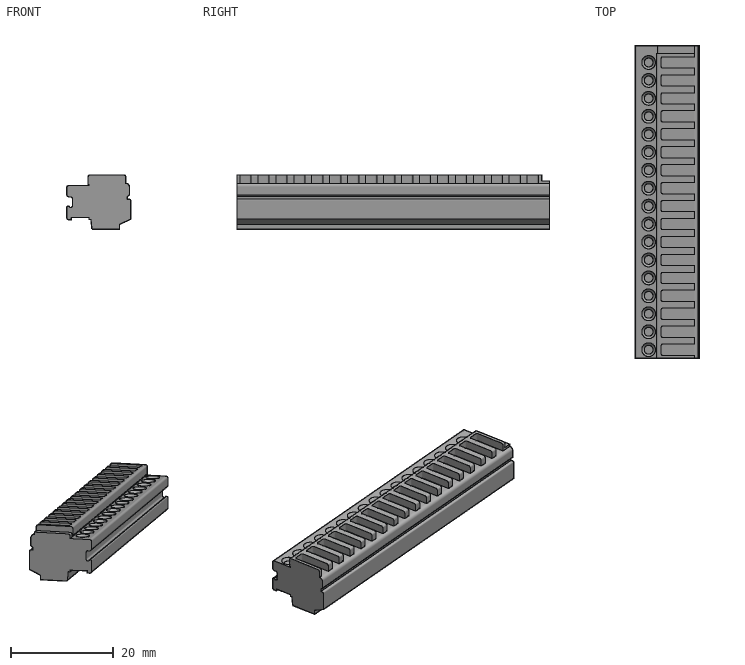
import cadquery as cq

depth = 12.5
length = 61.0
height = 10.6

pole_count = 17
row_span = 56.0
first_pole_y = 1.7
pitch = row_span / (pole_count - 1)

shelf_z = 8.55
block_front_x = 4.15
block_back_x = 11.5
shoulder_z = 8.95
shoulder_x = 12.25
shoulder_radius = shoulder_x - block_back_x
corner_radius = 0.4

groove_top_z = 6.3
groove_bottom_z = 4.3
groove_x = 1.1
groove_radius = 0.3
groove_mouth_radius = 0.5
bead_height = 0.25
bead_start_x = 0.4
bead_end_x = 0.6

lip_bottom_z = 1.8
lip_width = 0.9
underside_z = 2.25
step_x = 4.35
step_z = 1.9
neck_x = 4.7

foot_front_x = 4.9
foot_back_x = 10.3
foot_chamfer = 0.2
slope_low_z = 0.9
slope_high_z = 1.95

notch_x = 11.85
notch_bottom_z = 5.85
notch_top_z = 6.35
notch_flare_z = 6.7
back_edge_radius = 0.3

screw_x = 2.6
screw_rim_radius = 1.35
screw_floor_radius = 0.85
screw_depth = 0.55
pocket_front_x = 5.05
pocket_width = 2.2
pocket_corner_radius = 0.3
step_length = 1.5
step_drop = 1.15
step_inset = 0.2
core_top_z = height - step_drop
core_front_x = block_front_x + step_inset
overhang_gap = 0.2
block_bottom_z = shelf_z + overhang_gap


def round_long_edges(solid, edge_points):
    """Fillet the lengthwise edges that pass through the given (x, z) points."""
    for x, z in edge_points:
        edge = cq.selectors.NearestToPointSelector((x, length / 2, z))
        solid = solid.edges(edge).fillet(corner_radius)
    return solid


def make_body():
    section = (
        cq.Workplane("XZ")
        .moveTo(0, shelf_z)
        .lineTo(core_front_x, shelf_z)
        .lineTo(core_front_x, core_top_z)
        .lineTo(block_back_x, core_top_z)
        .lineTo(block_back_x, shoulder_z)
        .radiusArc((shoulder_x, shoulder_z - shoulder_radius), shoulder_radius)
        .lineTo(shoulder_x, notch_flare_z)
        .lineTo(notch_x, notch_top_z)
        .lineTo(notch_x, notch_bottom_z)
        .lineTo(depth - back_edge_radius, notch_bottom_z)
        .radiusArc((depth, notch_bottom_z - back_edge_radius), back_edge_radius)
        .lineTo(depth, slope_high_z)
        .lineTo(foot_back_x, slope_low_z)
        .lineTo(foot_back_x, 0)
        .lineTo(foot_front_x + foot_chamfer, 0)
        .lineTo(foot_front_x, foot_chamfer)
        .lineTo(neck_x, step_z)
        .lineTo(step_x, step_z)
        .lineTo(step_x, underside_z)
        .lineTo(lip_width, underside_z)
        .lineTo(lip_width, lip_bottom_z)
        .lineTo(0, lip_bottom_z)
        .lineTo(0, groove_bottom_z)
        .radiusArc((bead_height, groove_bottom_z + bead_height), bead_height)
        .lineTo(bead_start_x, groove_bottom_z + bead_height)
        .lineTo(bead_end_x, groove_bottom_z)
        .lineTo(groove_x - groove_radius, groove_bottom_z)
        .radiusArc((groove_x, groove_bottom_z + groove_radius), -groove_radius)
        .lineTo(groove_x, groove_top_z - groove_radius)
        .radiusArc((groove_x - groove_radius, groove_top_z), -groove_radius)
        .lineTo(groove_mouth_radius, groove_top_z)
        .radiusArc((0, groove_top_z + groove_mouth_radius), groove_mouth_radius)
        .close()
    )
    body = section.extrude(-length)
    return round_long_edges(body, ((0, shelf_z), (0, lip_bottom_z), (core_front_x, core_top_z)))


def make_block():
    """Top block over the core: it overhangs the shelf and stops short of the far end."""
    section = (
        cq.Workplane("XZ")
        .moveTo(block_front_x, block_bottom_z)
        .lineTo(block_front_x, height)
        .lineTo(block_back_x, height)
        .lineTo(block_back_x, block_bottom_z)
        .close()
    )
    block = section.extrude(step_length - length)
    return round_long_edges(block, ((block_front_x, height), (block_back_x, height)))


def make_screw_recess(y):
    return (
        cq.Workplane("XY", origin=(screw_x, y, shelf_z - screw_depth))
        .circle(screw_floor_radius)
        .workplane(offset=screw_depth)
        .circle(screw_rim_radius)
        .loft()
    )


def make_pocket(y):
    return (
        cq.Workplane("XY", origin=(pocket_front_x, y - pocket_width / 2, shoulder_z))
        .box(depth - pocket_front_x, pocket_width, height - shoulder_z, centered=False)
        .edges("|Z and <X")
        .fillet(pocket_corner_radius)
    )


result = make_body().union(make_block())
for pole in range(pole_count):
    pole_y = first_pole_y + pole * pitch
    result = result.cut(make_screw_recess(pole_y)).cut(make_pocket(pole_y))